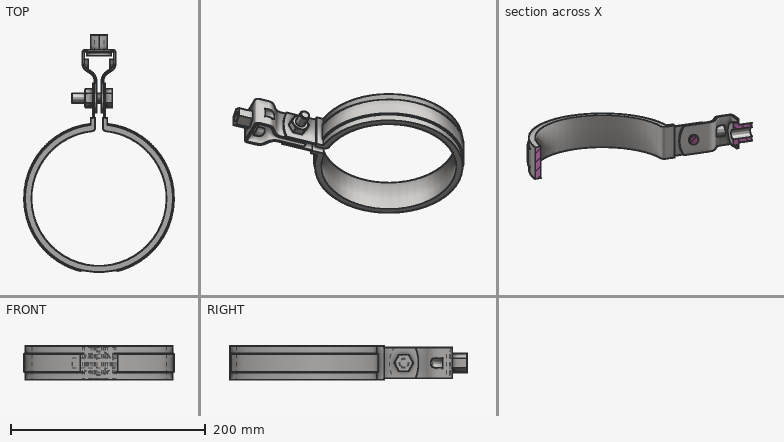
import cadquery as cq
import math

ring_inner_radius = 69.3
ring_outer_radius = 75.9
ring_height = 35.0
gap_width = 7.8
ear_thickness = 4.6
ear_top_y = 82.7
ear_corner_radius = 3.7

rib_outer_diameter = 154.5
rib_base_height = 20.0
rib_side_slope = 1.0
rib_arc_end_x = 24.0
rib_flat_end_x = 19.5
rib_tip_x = 15.0
rib_flat_y = -74.6
rib_tip_y = -74.1

sheet_width = 31.7
tab_thickness = 2.0
tab_tip_y = 118.0
tab_tip_radius = 43.5
bracket_thickness = 2.2
stem_outer_x = 4.6
stem_tip_y = 87.8
stem_tip_radius = 28.5

head_half_width = 17.3
head_top_y = 153.0
shoulder_y = 134.2
waist_y = 125.4
bend_radius = 9.8
top_corner_radius = 3.7

dimple_diameter = 13.0
dimple_hollow_diameter = 10.0
dimple_top_y = 143.0

hex_across_flats = 17.0
coupling_top_y = 168.0
coupling_bore = 10.0
flange_diameter = 25.4
flange_bottom_y = 146.3
flange_chamfer_wide = 1.0
flange_chamfer_high = 1.0

bolt_y = 103.0
bolt_diameter = 10.2
bolt_tip_x = -28.0
bolt_tip_chamfer_wide = 1.0
bolt_tip_chamfer_high = 0.7
bolt_head_height = 7.0
nut_height = 7.8
nut_chamfer_wide = 1.5
nut_chamfer_high = 0.7

hex_across_corners = hex_across_flats / math.cos(math.radians(30))
gap_half = gap_width / 2
ear_outer_x = gap_half + ear_thickness
rib_outer_radius = rib_outer_diameter / 2
tab_outer_x = stem_outer_x + tab_thickness
head_inner_y = head_top_y - bracket_thickness
nut_outer_x = -tab_outer_x - nut_height
margin = 0.2


def on_circle_y(radius, x):
    """Distance from the centre line, along Y, of a circle's point at the given x."""
    return math.sqrt(radius**2 - x**2)


def block(x_min, x_max, y_min, y_max, height):
    """A box centred on Z = 0."""
    box = cq.Workplane("XY").box(x_max - x_min, y_max - y_min, height)
    return box.translate(((x_min + x_max) / 2, (y_min + y_max) / 2, 0))


def rounded_strip(y_far, y_tip, tip_radius):
    """A strip along Y, wide through X, whose end at y_tip is a shallow arc across Z."""
    half = sheet_width / 2
    rise = tip_radius - on_circle_y(tip_radius, half)
    y_corner = y_tip + math.copysign(rise, y_far - y_tip)
    outline = (
        cq.Workplane("YZ")
        .moveTo(y_far, -half)
        .lineTo(y_corner, -half)
        .threePointArc((y_tip, 0), (y_corner, half))
        .lineTo(y_far, half)
        .close()
    )
    return outline.extrude(head_half_width, both=True)


def x_cylinder(diameter, x_min, x_max):
    """A cylinder along X on the bolt axis."""
    return cq.Workplane("YZ", origin=(x_min, bolt_y, 0)).circle(diameter / 2).extrude(x_max - x_min)


def x_hexagon(x_min, x_max):
    """A hexagonal prism along X on the bolt axis, with corners toward +Y and -Y."""
    plane = cq.Workplane("YZ", origin=(x_min, bolt_y, 0))
    return plane.polygon(6, hex_across_corners).extrude(x_max - x_min)


def make_rib():
    """The raised rib around the left (-X) half of the ring, from the ear to near the front."""
    start = (-ear_outer_x, on_circle_y(rib_outer_radius, ear_outer_x))
    arc_end = (-rib_arc_end_x, -on_circle_y(rib_outer_radius, rib_arc_end_x))
    root_radius = (ring_inner_radius + ring_outer_radius) / 2
    outline = (
        cq.Workplane("XY")
        .moveTo(*start)
        .threePointArc((-rib_outer_radius, 0), arc_end)
        .lineTo(-rib_flat_end_x, rib_flat_y)
        .lineTo(-rib_tip_x, rib_tip_y)
        .lineTo(-rib_tip_x, -on_circle_y(root_radius, rib_tip_x))
        .threePointArc((-root_radius, 0), (-ear_outer_x, on_circle_y(root_radius, ear_outer_x)))
        .close()
    )
    base_z = rib_base_height / 2
    outer_z = base_z - rib_side_slope
    cross_section = cq.Workplane("XZ").polyline(
        [
            (0, -base_z),
            (ring_outer_radius, -base_z),
            (rib_outer_radius, -outer_z),
            (rib_outer_radius, outer_z),
            (ring_outer_radius, base_z),
            (0, base_z),
        ]
    )
    sloped_sides = cross_section.close().revolve(360, (0, 0, 0), (0, 1, 0))
    return outline.extrude(base_z, both=True).intersect(sloped_sides)


def make_clamp():
    """The split ring with its two ears, ribs and the flat tabs that hold the bracket."""
    disc = cq.Workplane("XY").circle(ring_outer_radius).extrude(ring_height / 2, both=True)
    ear = block(-ear_outer_x, ear_outer_x, 0, ear_top_y, ring_height)
    bore = cq.Workplane("XY").circle(ring_inner_radius).extrude(ring_height, both=True)
    opening = block(-gap_half, gap_half, 0, ear_top_y, ring_height)
    ring = disc.union(ear).cut(bore).cut(opening)
    inner_corner_y = on_circle_y(ring_inner_radius, gap_half)
    corner_box = cq.selectors.BoxSelector(
        (-gap_half - margin, inner_corner_y - margin, -ring_height),
        (gap_half + margin, inner_corner_y + margin, ring_height),
    )
    ring = ring.edges("|Z").edges(corner_box).fillet(ear_corner_radius)

    rib = make_rib()
    tab = block(-tab_outer_x, -stem_outer_x, ear_top_y, tab_tip_y, sheet_width)
    tab = tab.intersect(rounded_strip(ear_top_y, tab_tip_y, tab_tip_radius))
    for side_feature in (rib, tab):
        ring = ring.union(side_feature).union(side_feature.mirror("YZ"))
    return ring.cut(x_cylinder(bolt_diameter, -tab_outer_x, tab_outer_x))


def make_bent_sheet():
    """The bent sheet of the bracket, with a dimple pressed into each shoulder."""
    half_outline = [
        (head_half_width, head_top_y),
        (head_half_width, shoulder_y),
        (stem_outer_x, waist_y),
        (stem_outer_x, stem_tip_y),
    ]
    outline = half_outline + [(-x, y) for x, y in reversed(half_outline)]
    form = cq.Workplane("XY").polyline(outline).close().extrude(sheet_width / 2, both=True)
    form = form.edges("|Z and >Y").fillet(top_corner_radius)
    bend_box = cq.selectors.BoxSelector(
        (-head_half_width - margin, waist_y - margin, -sheet_width),
        (head_half_width + margin, shoulder_y + margin, sheet_width),
    )
    form = form.edges("|Z").edges(bend_box).fillet(bend_radius)
    sheet = form.faces("|Z or <Y").shell(-bracket_thickness)
    sheet = sheet.intersect(rounded_strip(head_top_y, stem_tip_y, stem_tip_radius))

    dimple_length = dimple_top_y - waist_y
    for side_x in (-head_half_width, head_half_width):
        press = cq.Workplane("XZ", origin=(side_x, dimple_top_y, 0))
        bulge = press.circle(dimple_diameter / 2).extrude(dimple_length).intersect(form)
        hollow = press.circle(dimple_hollow_diameter / 2).extrude(dimple_length)
        sheet = sheet.union(bulge).cut(hollow)
    return sheet.cut(x_cylinder(bolt_diameter, -stem_outer_x, stem_outer_x))


def make_bracket():
    """The bent sheet with its fixed coupling: a hexagon on top, a round flange inside, one bore."""
    hexagon = cq.Workplane("XZ", origin=(0, coupling_top_y, 0))
    hexagon = hexagon.polygon(6, hex_across_corners).extrude(coupling_top_y - head_top_y)
    hexagon = hexagon.rotate((0, 0, 0), (0, 1, 0), 30)
    flange = cq.Workplane("XZ", origin=(0, head_inner_y, 0)).circle(flange_diameter / 2)
    flange = flange.extrude(head_inner_y - flange_bottom_y)
    flange = flange.faces(">Y").chamfer(flange_chamfer_high, flange_chamfer_wide)
    bore = cq.Workplane("XZ", origin=(0, coupling_top_y, 0)).circle(coupling_bore / 2)
    bore = bore.extrude(coupling_top_y - flange_bottom_y)
    return make_bent_sheet().union(hexagon).union(flange).cut(bore)


def make_bolt():
    """The clamping bolt along X, with a hexagonal head on the +X side."""
    shank = x_cylinder(bolt_diameter, bolt_tip_x, tab_outer_x)
    shank = shank.faces("<X").chamfer(bolt_tip_chamfer_high, bolt_tip_chamfer_wide)
    return shank.union(x_hexagon(tab_outer_x, tab_outer_x + bolt_head_height))


def make_nut():
    """The nut on the -X side, with its outer corners chamfered."""
    envelope = x_cylinder(hex_across_corners, nut_outer_x, -tab_outer_x)
    envelope = envelope.faces("<X").chamfer(nut_chamfer_high, nut_chamfer_wide)
    bore = x_cylinder(bolt_diameter, nut_outer_x, -tab_outer_x)
    return x_hexagon(nut_outer_x, -tab_outer_x).intersect(envelope).cut(bore)


clamp = make_clamp()
bracket = make_bracket()
bolt = make_bolt()
nut = make_nut()

result = cq.Compound.makeCompound([clamp.val(), bracket.val(), bolt.val(), nut.val()])